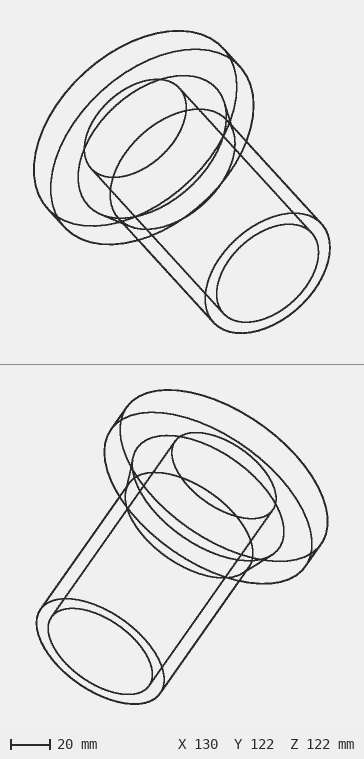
import cadquery as cq

total_length = 130.0
flange_diameter = 122.0
flange_thickness = 16.6
neck_diameter = 89.0
neck_length = 20.0
pipe_diameter = 75.0
bore_diameter = 61.2

bore_radius = bore_diameter / 2
flange_radius = flange_diameter / 2
neck_radius = neck_diameter / 2
pipe_radius = pipe_diameter / 2
neck_end = flange_thickness + neck_length

section = (
    cq.Workplane("XY")
    .moveTo(0, bore_radius)
    .lineTo(0, flange_radius)
    .lineTo(flange_thickness, flange_radius)
    .lineTo(flange_thickness, neck_radius)
    .lineTo(neck_end, pipe_radius)
    .lineTo(total_length, pipe_radius)
    .lineTo(total_length, bore_radius)
    .close()
)

result = section.revolve(360, (0, 0, 0), (1, 0, 0))